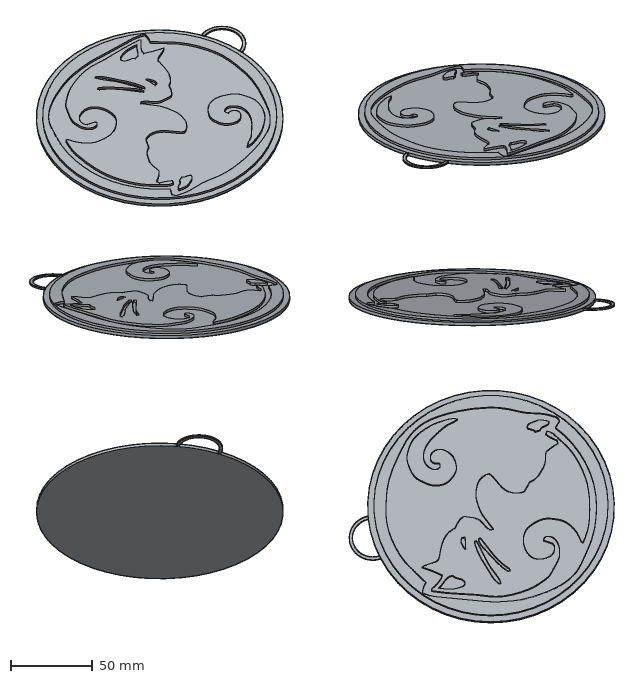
import cadquery as cq

plate_diameter = 151.54
plate_thickness = 2.0
total_thickness = 3.5
rim_width = 3.85
raised_radius = plate_diameter / 2 - rim_width
relief_height = total_thickness - plate_thickness

overall_length = 165.65
loop_outer_radius = 14.5
loop_width = 2.0
loop_thickness = 1.0
loop_base_z = 0.5
loop_center_x = 2.1
loop_center_y = overall_length - plate_diameter / 2 - loop_outer_radius


field_outline = [
    [(-42.2, 57.2)],
    [(-40.0, 56.3), (-36.3, 53.2)],
    [(-29.0, 56.8), (-20.0, 61.2), (-8.0, 64.2), (9.0, 64.3), (20.0, 61.3), (30.0, 57.3),
     (40.0, 51.2), (50.0, 42.8), (56.0, 37.0), (61.0, 30.0), (63.5, 24.5), (64.9, 18.0),
     (65.0, 0.0), (62.5, -15.0), (60.0, -23.0), (56.5, -30.2), (51.0, -40.0),
     (49.6, -44.0), (47.0, -50.0), (44.5, -53.7)],
    [(43.0, -55.8), (40.2, -56.7)],
    [(36.8, -52.9)],
    [(30.0, -57.0), (20.0, -61.2), (6.0, -64.2), (-5.0, -64.5), (-15.0, -63.0),
     (-24.0, -60.3), (-33.0, -56.4), (-42.0, -50.7), (-50.0, -44.1), (-56.0, -38.5),
     (-61.0, -30.2), (-63.5, -21.5), (-64.7, -11.0), (-64.4, 2.0), (-62.9, 10.0),
     (-60.0, 20.0), (-55.0, 31.5), (-49.8, 44.0), (-45.2, 53.5), (-42.2, 57.2)],
]

left_cat_outline = [
    [(-43.0, 50.5)],
    [(-42.0, 51.5), (-41.0, 50.5)],
    [(-38.0, 45.3), (-36.5, 43.6), (-34.7, 42.2)],
    [(-30.0, 47.3), (-26.0, 52.5)],
    [(-25.4, 49.5), (-25.3, 46.0), (-24.0, 41.3), (-22.0, 40.0), (-15.5, 36.5),
     (-11.0, 32.8), (-8.6, 29.0), (-7.8, 25.8)],
    [(-3.3, 21.2), (-2.2, 18.5), (-3.5, 15.0), (-5.0, 12.0), (-7.2, 9.5), (-12.0, 7.3),
     (-15.5, 4.7)],
    [(-15.4, 3.2)],
    [(-10.0, 4.9), (-3.0, 7.1), (3.0, 7.5), (9.0, 6.9), (14.0, 4.8), (17.5, 2.2),
     (19.5, -1.0), (20.1, -5.2)],
    [(15.0, -7.8), (9.0, -10.2), (4.5, -14.0), (2.7, -18.0), (2.6, -22.2)],
    [(5.0, -24.7), (7.5, -27.3)],
    [(8.5, -31.2), (12.0, -36.0), (17.0, -40.2), (21.0, -41.7), (23.3, -42.7)],
    [(25.0, -46.5), (26.2, -51.5)],
    [(28.5, -51.5)],
    [(32.5, -47.5), (34.4, -46.0)],
    [(36.0, -47.2)],
    [(34.0, -50.0), (30.0, -52.4), (25.0, -55.2), (17.0, -58.4), (7.0, -60.4),
     (-5.0, -60.6), (-14.0, -59.0), (-24.0, -56.0), (-32.0, -52.5), (-36.5, -49.5),
     (-40.0, -46.8)],
    [(-39.0, -45.8)],
    [(-34.0, -45.3), (-28.0, -43.2), (-23.0, -39.5), (-20.0, -34.5), (-18.3, -30.0),
     (-18.2, -25.0), (-19.5, -20.0), (-22.0, -15.5), (-26.0, -12.8), (-31.0, -11.6),
     (-36.0, -12.0), (-40.0, -14.0), (-42.5, -17.5), (-43.1, -21.5), (-42.5, -25.0),
     (-40.0, -28.2), (-37.5, -29.2), (-35.0, -28.6)],
    [(-31.6, -24.1)],
    [(-30.0, -25.0), (-29.9, -27.5), (-31.5, -30.0), (-34.5, -31.6), (-40.0, -31.6),
     (-45.0, -29.8), (-50.0, -25.3), (-54.8, -20.2), (-57.0, -15.0), (-58.6, -10.0),
     (-59.5, -3.0), (-59.4, 7.0), (-57.5, 16.0), (-53.5, 25.0), (-50.0, 34.0),
     (-43.0, 50.5)],
]

tail_outline = [
    [(59.9, 2.8)],
    [(59.0, 6.0), (58.4, 9.5), (55.5, 16.5), (52.5, 22.0), (48.5, 26.8), (45.0, 29.2),
     (40.0, 30.4), (36.0, 29.3), (33.2, 27.0), (32.9, 23.0)],
    [(33.5, 22.3), (36.0, 22.2)],
    [(36.5, 24.2), (38.0, 25.9), (40.0, 26.4), (42.7, 25.3), (44.4, 22.5), (44.3, 19.0),
     (42.0, 15.5), (38.5, 13.0), (34.0, 12.3), (29.0, 13.2), (25.0, 16.7), (22.7, 20.5),
     (22.0, 25.0), (23.5, 30.5), (27.0, 35.0), (32.0, 39.0), (38.0, 40.3), (44.0, 40.2),
     (50.0, 37.5), (56.0, 32.0), (59.2, 25.5), (61.2, 18.0), (61.6, 10.0), (61.0, 5.0),
     (59.9, 2.8)],
]

right_ear_outline = [
    [(41.6, -50.4)],
    [(43.5, -47.5), (44.5, -44.5), (44.3, -40.5), (43.6, -37.5), (42.0, -36.5),
     (40.5, -38.0), (38.0, -40.2)],
    [(38.0, -43.5)],
    [(39.7, -46.5), (40.2, -49.2), (41.6, -50.4)],
]

left_ear_outline = [
    [(-42.0, 46.9)],
    [(-37.8, 40.7), (-37.0, 39.0), (-37.0, 36.0)],
    [(-39.0, 34.3), (-41.5, 31.0), (-43.0, 30.4), (-45.4, 32.3)],
    [(-45.4, 38.5), (-43.4, 44.3), (-42.0, 46.9)],
]
eye_outline = [
    [(-22.6, 23.7)],
    [(-20.5, 24.3), (-16.5, 24.4), (-15.0, 23.5)],
    [(-15.0, 21.3)],
    [(-18.5, 22.3), (-22.6, 23.3)],
    [(-22.6, 23.7)],
]
upper_whisker_outline = [
    [(-50.5, 9.4)],
    [(-50.5, 10.4)],
    [(-48.0, 12.0), (-40.0, 14.0), (-33.0, 15.8), (-26.0, 16.8), (-20.0, 16.9)],
    [(-19.4, 16.0), (-21.5, 15.0)],
    [(-30.0, 13.8), (-37.0, 12.7), (-43.0, 10.9), (-48.0, 9.5), (-50.5, 9.4)],
]
lower_whisker_outline = [
    [(-44.5, 1.5)],
    [(-44.5, 2.6)],
    [(-42.0, 4.6), (-36.0, 7.9), (-27.0, 11.9), (-22.5, 13.6), (-19.0, 14.0)],
    [(-18.5, 13.0), (-20.0, 12.0)],
    [(-26.0, 10.0), (-35.0, 6.5), (-40.0, 3.7), (-43.0, 1.5)],
    [(-44.5, 1.5)],
]


def relief(outline):
    """Prism of an outline, from the plate's upper face to the top of the relief."""
    first_point = outline[0][0]
    sketch = cq.Workplane("XY").workplane(offset=plate_thickness).moveTo(*first_point)
    for run in outline[1:]:
        if len(run) == 1:
            sketch = sketch.lineTo(*run[0])
        else:
            sketch = sketch.spline(run, includeCurrent=True)
    return sketch.close().extrude(relief_height)


def make_plate():
    plate = cq.Workplane("XY").circle(plate_diameter / 2).extrude(plate_thickness)
    raised_disc = cq.Workplane("XY").circle(raised_radius).extrude(total_thickness)
    return plate.union(raised_disc)


def make_loop():
    ring = cq.Workplane("XY").workplane(offset=loop_base_z).center(loop_center_x, loop_center_y)
    return ring.circle(loop_outer_radius).circle(loop_outer_radius - loop_width).extrude(loop_thickness)


raised_outlines = (left_cat_outline, tail_outline, right_ear_outline)
sunken_outlines = (left_ear_outline, eye_outline, upper_whisker_outline, lower_whisker_outline)

result = make_plate().union(make_loop()).cut(relief(field_outline))
for outline in raised_outlines:
    result = result.union(relief(outline))
for outline in sunken_outlines:
    result = result.cut(relief(outline))